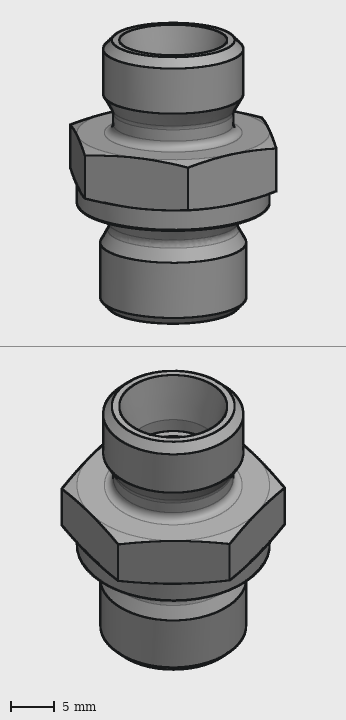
import cadquery as cq
import math

overall_height = 31.5
flange_bottom = 12.0
hex_bottom = 14.5
hex_top = 20.5

across_flats = 22.0
hex_sides = 6
half_side_angle = 180 / hex_sides
across_corners = across_flats / math.cos(math.radians(half_side_angle))
hex_face_diameter = 21.95
hex_chamfer_angle = 15.0
flange_diameter = 22.0
flange_chamfer = 0.2

tube_thread_diameter = 16.0
tube_end_diameter = 14.0
tube_chamfer_height = 1.05
tube_thread_bottom = 25.1
tube_neck_diameter = 13.7
neck_radius = 1.0
runout_angle = 30.0

stud_diameter = 16.66
stud_end_diameter = 14.9
stud_chamfer_height = 0.95
stud_thread_top = 7.5
stud_neck_diameter = 14.4
recess_diameter = 17.0
stud_neck_radius = 1.0

bore_diameter = 8.0
seat_diameter = 10.0
seat_depth = 7.0
cone_mouth_diameter = 12.3
cone_half_angle = 12.0

pick_margin = 0.01


def cone_height(large_diameter, small_diameter, angle):
    """Axial length of a cone whose side leans by angle from the axis."""
    return (large_diameter - small_diameter) / 2 / math.tan(math.radians(angle))


def revolve_profile(points):
    """Solid of revolution about Z from (radius, height) points."""
    return cq.Workplane("XZ").polyline(points).close().revolve(360, (0, 0, 0), (0, 1, 0))


def round_ring(body, height, diameter, radius):
    """Fillet the circular edge of the given diameter at the given height."""
    reach = diameter / 2 + pick_margin
    low_corner = (-reach, -reach, height - pick_margin)
    high_corner = (reach, reach, height + pick_margin)
    ring = cq.selectors.BoxSelector(low_corner, high_corner, boundingbox=True)
    return body.edges(ring).fillet(radius)


tube_runout = cone_height(tube_thread_diameter, tube_neck_diameter, runout_angle)
tube_runout_bottom = tube_thread_bottom - tube_runout
stud_runout = cone_height(stud_diameter, stud_neck_diameter, runout_angle)
groove_height = stud_thread_top + stud_runout


def make_hexagon():
    """Hexagon with two flats facing X and conically chamfered corners."""
    height = hex_top - hex_bottom
    prism = (
        cq.Workplane("XY", origin=(0, 0, hex_bottom))
        .polygon(hex_sides, across_corners)
        .extrude(height)
        .rotate((0, 0, 0), (0, 0, 1), half_side_angle)
    )
    face_radius = hex_face_diameter / 2
    corner_radius = across_corners / 2
    drop = (corner_radius - face_radius) * math.tan(math.radians(hex_chamfer_angle))
    envelope = revolve_profile([
        (0, hex_bottom),
        (face_radius, hex_bottom),
        (corner_radius, hex_bottom + drop),
        (corner_radius, hex_top - drop),
        (face_radius, hex_top),
        (0, hex_top),
    ])
    return prism.intersect(envelope)


def make_tube_spigot():
    """Upper threaded spigot with its run-out cone and neck, standing on the hexagon."""
    thread_radius = tube_thread_diameter / 2
    neck = tube_neck_diameter / 2
    return revolve_profile([
        (0, hex_top),
        (neck, hex_top),
        (neck, tube_runout_bottom),
        (thread_radius, tube_thread_bottom),
        (thread_radius, overall_height - tube_chamfer_height),
        (tube_end_diameter / 2, overall_height),
        (0, overall_height),
    ])


def make_stud():
    """Flange and lower threaded stud, joined by a V-shaped groove."""
    flange_radius = flange_diameter / 2
    stud_radius = stud_diameter / 2
    neck = stud_neck_diameter / 2
    return revolve_profile([
        (0, 0),
        (stud_end_diameter / 2, 0),
        (stud_radius, stud_chamfer_height),
        (stud_radius, stud_thread_top),
        (neck, groove_height),
        (recess_diameter / 2, flange_bottom),
        (flange_radius - flange_chamfer, flange_bottom),
        (flange_radius, flange_bottom + flange_chamfer),
        (flange_radius, hex_bottom),
        (0, hex_bottom),
    ])


def make_bore():
    """Through bore, tube seat and conical mouth."""
    cone = cone_height(cone_mouth_diameter, seat_diameter, cone_half_angle)
    return revolve_profile([
        (0, 0),
        (bore_diameter / 2, 0),
        (bore_diameter / 2, overall_height - seat_depth),
        (seat_diameter / 2, overall_height - seat_depth),
        (seat_diameter / 2, overall_height - cone),
        (cone_mouth_diameter / 2, overall_height),
        (0, overall_height),
    ])


body = make_hexagon().union(make_tube_spigot()).union(make_stud())
body = round_ring(body, hex_top, tube_neck_diameter, neck_radius)
body = round_ring(body, tube_runout_bottom, tube_neck_diameter, neck_radius)
body = round_ring(body, groove_height, stud_neck_diameter, stud_neck_radius)
result = body.cut(make_bore())